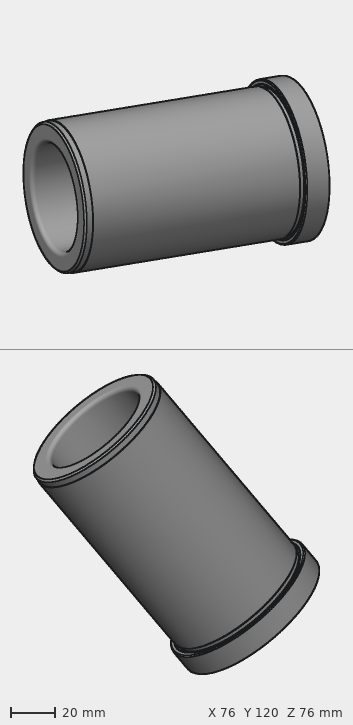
import cadquery as cq

length = 120.0
head_diameter = 76.0
head_length = 12.0
head_front_chamfer = 0.6
head_back_round = 1.0

body_diameter = 70.1
groove_width = 1.8
groove_depth = 0.6
groove_ramp = 0.5

undercut_diameter = 71.6
undercut_depth = 0.5
undercut_taper = 0.5

pilot_length = 4.0
pilot_step = 0.4
pilot_chamfer = 1.0

bore_diameter = 50.0
bore_mouth_radius = 2.0

head_radius = head_diameter / 2
body_radius = body_diameter / 2
bore_radius = bore_diameter / 2
undercut_radius = undercut_diameter / 2
groove_radius = body_radius - groove_depth
pilot_radius = body_radius - pilot_step
mouth_radius = bore_radius + bore_mouth_radius
head_start = length - head_length
groove_start = head_start - groove_width
undercut_floor = head_start + undercut_depth

half_section = (
    cq.Workplane("XY")
    .moveTo(mouth_radius, 0)
    .lineTo(pilot_radius - pilot_chamfer, 0)
    .lineTo(pilot_radius, pilot_chamfer)
    .lineTo(pilot_radius, pilot_length)
    .lineTo(body_radius, pilot_length)
    .lineTo(body_radius, groove_start)
    .lineTo(groove_radius, groove_start + groove_ramp)
    .lineTo(groove_radius, undercut_floor)
    .lineTo(undercut_radius - undercut_taper, undercut_floor)
    .lineTo(undercut_radius, head_start)
    .lineTo(head_radius - head_front_chamfer, head_start)
    .lineTo(head_radius, head_start + head_front_chamfer)
    .lineTo(head_radius, length - head_back_round)
    .tangentArcPoint((head_radius - head_back_round, length), relative=False)
    .lineTo(mouth_radius, length)
    .radiusArc((bore_radius, length - bore_mouth_radius), -bore_mouth_radius)
    .lineTo(bore_radius, bore_mouth_radius)
    .radiusArc((mouth_radius, 0), -bore_mouth_radius)
    .close()
)

result = half_section.revolve(360, (0, 0, 0), (0, 1, 0))